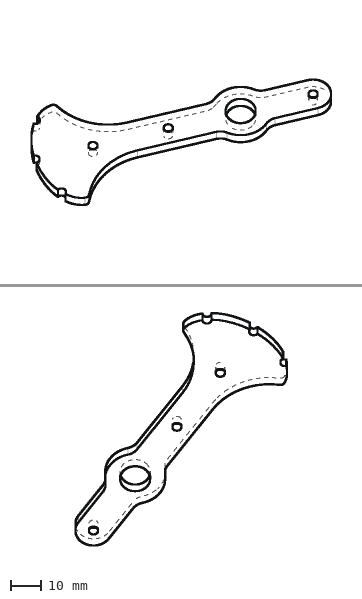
import cadquery as cq
import math

overall_length = 102.0
thickness = 4.0
bar_half_width = 6.0
hub_radius = 10.0
bore_radius = 5.0
hub_fillet = 5.0
pin_radius = 1.5
pin_spacing = 25.0
lower_hole_y = -51.0

foot_half_width = 20.0
foot_half_height = 12.5
flare_radius = 22.5
flare_start_y = -37.4
foot_corner_radius = 1.5
side_notch_x = 15.5

margin = 0.1

bar_top_y = pin_spacing + bar_half_width
foot_bottom_y = bar_top_y - overall_length
foot_center_y = foot_bottom_y + foot_half_height


def foot_height_at(x):
    """Height of the elliptical lower edge at a given X."""
    return foot_center_y - foot_half_height * math.sqrt(1 - (x / foot_half_width) ** 2)


def make_bar():
    """Rounded bar joined to the round hub with blended corners."""
    straight_length = pin_spacing - flare_start_y
    bar = (
        cq.Workplane("XY")
        .center(0, (pin_spacing + flare_start_y) / 2)
        .rect(2 * bar_half_width, straight_length)
        .extrude(thickness)
    )
    tip = cq.Workplane("XY").center(0, pin_spacing).circle(bar_half_width).extrude(thickness)
    hub = cq.Workplane("XY").circle(hub_radius).extrude(thickness)
    corners = cq.selectors.BoxSelector(
        (-bar_half_width - margin, -hub_radius, -margin),
        (bar_half_width + margin, hub_radius, thickness + margin),
    )
    return bar.union(hub).union(tip).edges("|Z").edges(corners).fillet(hub_fillet)


def make_foot():
    """Area under the flares, trimmed by the ellipse and rounded at both tips."""
    flare_center_x = bar_half_width + flare_radius
    flare_end_y = flare_start_y - flare_radius
    diagonal = flare_radius * math.sqrt(0.5)
    middle_x = flare_center_x - diagonal
    middle_y = flare_start_y - diagonal
    flared = (
        cq.Workplane("XY")
        .moveTo(-bar_half_width, flare_start_y)
        .lineTo(bar_half_width, flare_start_y)
        .threePointArc((middle_x, middle_y), (flare_center_x, flare_end_y))
        .lineTo(flare_center_x, foot_bottom_y)
        .lineTo(-flare_center_x, foot_bottom_y)
        .lineTo(-flare_center_x, flare_end_y)
        .threePointArc((-middle_x, middle_y), (-bar_half_width, flare_start_y))
        .close()
        .extrude(thickness)
    )
    ellipse = (
        cq.Workplane("XY")
        .center(0, foot_center_y)
        .ellipse(foot_half_width, foot_half_height)
        .extrude(thickness)
    )
    upper_height = flare_start_y - foot_center_y
    upper = (
        cq.Workplane("XY")
        .center(0, foot_center_y + upper_height / 2)
        .rect(2 * foot_half_width, upper_height)
        .extrude(thickness)
    )
    tip_y = flare_start_y - math.sqrt(flare_radius**2 - (flare_center_x - foot_half_width) ** 2)
    tips = cq.selectors.BoxSelector(
        (-foot_half_width - margin, tip_y - margin, -margin),
        (foot_half_width + margin, tip_y + margin, thickness + margin),
    )
    foot = flared.intersect(ellipse.union(upper))
    return foot.edges("|Z").edges(tips).fillet(foot_corner_radius)


hole_points = [(0, pin_spacing), (0, -pin_spacing), (0, lower_hole_y)]
notch_points = [(x, foot_height_at(x)) for x in (-side_notch_x, 0, side_notch_x)]

pin_cuts = cq.Workplane("XY").pushPoints(hole_points + notch_points).circle(pin_radius).extrude(thickness)
bore = cq.Workplane("XY").circle(bore_radius).extrude(thickness)

result = make_bar().union(make_foot()).cut(pin_cuts).cut(bore)